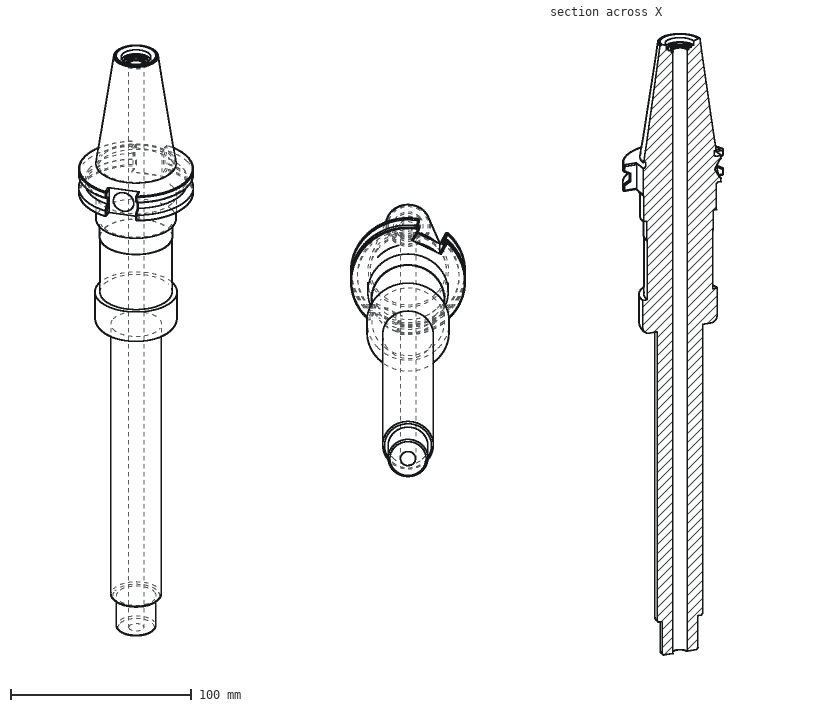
import cadquery as cq
import math

GAUGE_DIAMETER = 44.45
TAPER_RATIO = 7 / 24
TAPER_LENGTH = 68.4
TAPER_TIP_CHAMFER = 0.5
RELIEF_DIAMETER = 42.2
RELIEF_FILLET = 0.9

FLANGE_DIAMETER = 63.5
FLANGE_CHAMFER = 0.5
FLANGE_FILLET = 1.1
FLANGE_TOP = -3.2
FLANGE_BOTTOM = -18.9
GROOVE_CENTER = -10.95
GROOVE_WIDTH = 7.2
GROOVE_DIAMETER = 56.25
GROOVE_FLANK_ANGLE = 30.0

SLOT_WIDTH = 16.5
SLOT_EDGE_CHAMFER = 0.8
FRONT_SLOT_DEPTH_Y = 25.0
BACK_SLOT_DEPTH_Y = 22.5
FLOOR_TOLERANCE = 0.01
POCKET_DIAMETER = 10.0
POCKET_CHAMFER = 0.85
POCKET_POINT_ANGLE = 120.0

SHOULDER_DIAMETER = 44.5
SHOULDER_BOTTOM = -35.0
SHOULDER_FILLET = 0.8
BODY_DIAMETER = 40.5
SLEEVE_DIAMETER = 40.0
SLEEVE_TOP = -46.5
COLLAR_DIAMETER = 45.5
COLLAR_TOP = -81.5
COLLAR_BOTTOM = -101.8
COLLAR_FILLET = 4.0
SHAFT_DIAMETER = 28.0
SHAFT_CHAMFER = 1.0
OVERALL_LENGTH = 362.55
TIP_BOTTOM = TAPER_LENGTH - OVERALL_LENGTH
TIP_DIAMETER = 22.0
TIP_LENGTH = 20.0
TIP_CHAMFER = 1.0

COOLANT_DIAMETER = 8.35
BORE_STEPS = ((16.5, 3.5), (13.53, 4.5), (10.5, 5.5))
MOUTH_DIAMETER = 22.0
MOUTH_DEPTH = 1.0


def make_outside():
    tip_radius = (GAUGE_DIAMETER - TAPER_RATIO * TAPER_LENGTH) / 2
    chamfer_radius = tip_radius + TAPER_RATIO / 2 * TAPER_TIP_CHAMFER
    relief_radius = RELIEF_DIAMETER / 2
    body_radius = BODY_DIAMETER / 2
    flange_radius = FLANGE_DIAMETER / 2
    groove_radius = GROOVE_DIAMETER / 2
    groove_half = GROOVE_WIDTH / 2
    lip_radius = flange_radius - FLANGE_CHAMFER
    flank_height = (lip_radius - groove_radius) * math.tan(math.radians(GROOVE_FLANK_ANGLE))
    floor_half = groove_half - flank_height
    shoulder_radius = SHOULDER_DIAMETER / 2
    collar_radius = COLLAR_DIAMETER / 2
    shaft_radius = SHAFT_DIAMETER / 2
    shaft_bottom = TIP_BOTTOM + TIP_LENGTH
    end_radius = TIP_DIAMETER / 2
    profile = (
        cq.Workplane("XZ")
        .moveTo(0, TAPER_LENGTH)
        .lineTo(tip_radius - TAPER_TIP_CHAMFER, TAPER_LENGTH)
        .lineTo(chamfer_radius, TAPER_LENGTH - TAPER_TIP_CHAMFER)
        .lineTo(GAUGE_DIAMETER / 2, 0)
        .lineTo(relief_radius, 0)
        .lineTo(relief_radius, FLANGE_TOP + RELIEF_FILLET)
        .radiusArc((relief_radius + RELIEF_FILLET, FLANGE_TOP), -RELIEF_FILLET)
        .lineTo(flange_radius - FLANGE_CHAMFER, FLANGE_TOP)
        .lineTo(flange_radius, FLANGE_TOP - FLANGE_CHAMFER)
        .lineTo(flange_radius, GROOVE_CENTER + groove_half + FLANGE_CHAMFER)
        .lineTo(lip_radius, GROOVE_CENTER + groove_half)
        .lineTo(groove_radius, GROOVE_CENTER + floor_half)
        .lineTo(groove_radius, GROOVE_CENTER - floor_half)
        .lineTo(lip_radius, GROOVE_CENTER - groove_half)
        .lineTo(flange_radius, GROOVE_CENTER - groove_half - FLANGE_CHAMFER)
        .lineTo(flange_radius, FLANGE_BOTTOM + FLANGE_CHAMFER)
        .lineTo(flange_radius - FLANGE_CHAMFER, FLANGE_BOTTOM)
        .lineTo(shoulder_radius + FLANGE_FILLET, FLANGE_BOTTOM)
        .radiusArc((shoulder_radius, FLANGE_BOTTOM - FLANGE_FILLET), -FLANGE_FILLET)
        .lineTo(shoulder_radius, SHOULDER_BOTTOM)
        .lineTo(body_radius + SHOULDER_FILLET, SHOULDER_BOTTOM)
        .radiusArc((body_radius, SHOULDER_BOTTOM - SHOULDER_FILLET), -SHOULDER_FILLET)
        .lineTo(body_radius, SLEEVE_TOP)
        .lineTo(SLEEVE_DIAMETER / 2, SLEEVE_TOP)
        .lineTo(SLEEVE_DIAMETER / 2, COLLAR_TOP)
        .lineTo(collar_radius, COLLAR_TOP)
        .lineTo(collar_radius, COLLAR_BOTTOM + COLLAR_FILLET)
        .radiusArc((collar_radius - COLLAR_FILLET, COLLAR_BOTTOM), COLLAR_FILLET)
        .lineTo(shaft_radius, COLLAR_BOTTOM)
        .lineTo(shaft_radius, shaft_bottom + SHAFT_CHAMFER)
        .lineTo(shaft_radius - SHAFT_CHAMFER, shaft_bottom)
        .lineTo(end_radius, shaft_bottom)
        .lineTo(end_radius, TIP_BOTTOM + TIP_CHAMFER)
        .lineTo(end_radius - TIP_CHAMFER, TIP_BOTTOM)
        .lineTo(0, TIP_BOTTOM)
        .close()
    )
    return profile.revolve(360, (0, 0, 0), (0, 1, 0))


def make_slot(floor_distance, side):
    """Drive slot through the flange; side is -1 for -Y and +1 for +Y."""
    outer = FLANGE_DIAMETER / 2
    height = FLANGE_TOP - FLANGE_BOTTOM
    depth = outer - floor_distance
    center_y = side * (floor_distance + outer) / 2
    center_z = (FLANGE_TOP + FLANGE_BOTTOM) / 2
    return cq.Workplane("XY", origin=(0, center_y, center_z)).box(SLOT_WIDTH, depth, height)


def chamfer_slot_walls(part):
    """Chamfer the slot wall edges where they meet the flange faces, rim and groove."""
    floors = (-FRONT_SLOT_DEPTH_Y, BACK_SLOT_DEPTH_Y)
    wall_edges = [
        edge
        for face in part.faces("|X").vals()
        for edge in face.Edges()
        if all(abs(edge.Center().y - y) > FLOOR_TOLERANCE for y in floors)
    ]
    return part.newObject(wall_edges).chamfer(SLOT_EDGE_CHAMFER)


def make_pocket():
    """Conical pocket in the floor of the -Y slot."""
    radius = POCKET_DIAMETER / 2
    depth = radius / math.tan(math.radians(POCKET_POINT_ANGLE / 2))
    mouth_radius = radius + POCKET_CHAMFER
    profile = (
        cq.Workplane("XY", origin=(0, -FRONT_SLOT_DEPTH_Y, GROOVE_CENTER))
        .moveTo(0, 0)
        .lineTo(mouth_radius, 0)
        .lineTo(radius, POCKET_CHAMFER)
        .lineTo(0, POCKET_CHAMFER + depth)
        .close()
    )
    return profile.revolve(360, (0, 0, 0), (0, 1, 0))


def make_bore():
    top = cq.Workplane("XY", origin=(0, 0, TAPER_LENGTH))
    bore = top.circle(COOLANT_DIAMETER / 2).extrude(-OVERALL_LENGTH)
    for diameter, depth in BORE_STEPS:
        bore = bore.union(top.circle(diameter / 2).extrude(-depth))
    widest_diameter = BORE_STEPS[0][0]
    mouth = cq.Solid.makeCone(
        MOUTH_DIAMETER / 2,
        widest_diameter / 2,
        MOUTH_DEPTH,
        cq.Vector(0, 0, TAPER_LENGTH),
        cq.Vector(0, 0, -1),
    )
    return bore.union(cq.Workplane(mouth))


slotted = make_outside().cut(make_slot(FRONT_SLOT_DEPTH_Y, -1)).cut(make_slot(BACK_SLOT_DEPTH_Y, 1))
result = chamfer_slot_walls(slotted).cut(make_pocket()).cut(make_bore())